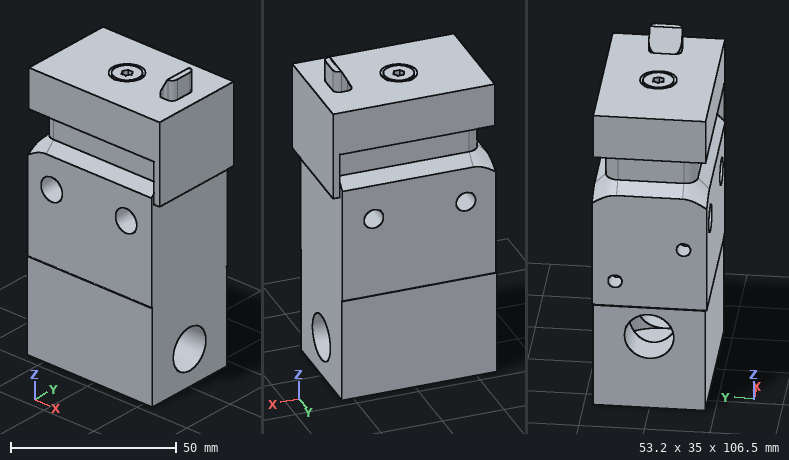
import cadquery as cq
import math

OVERLAP = 1.1

BASE_LENGTH = 50.4
BASE_WIDTH = 34.3
BASE_TOP = 34.4
PORT_DIAMETER = 15.0
INLET_HEIGHT = 24.6
OUTLET_HEIGHT = 13.1
CHAMBER_DIAMETER = 30.0

BODY_LEFT = 0.4
BODY_WIDTH = 35.0
NECK_INSET = 3.5
NECK_CORNER_RADIUS = 3.9
SHOULDER_TOP = 75.9
CORNER_DROP = 8.5

MOUNT_HOLES_X = (10.2, 40.2)
MOUNT_HOLE_HEIGHT = 60.9
MOUNT_HOLE_DIAMETER = 6.3
MOUNT_BORE_DIAMETER = 8.5
MOUNT_BORE_DEPTH = 10.6

PIN_HOLE_DIAMETER = 4.3
PIN_HOLE_DEPTH = 6.4
PIN_HOLE_PLACES = ((-10.4, 54.8), (10.4, 42.8))
DRILL_POINT_ANGLE = 118

LID_LEFT = 0.6
LID_RIGHT = 53.2
LID_BOTTOM = 85.1
LID_TOP = 99.5
LIP_THICKNESS = 2.2
LIP_BOTTOM = 70.3

SCREW_X = 25.2
SCREW_SEAT_DIAMETER = 11.2
SCREW_HEAD_DIAMETER = 9.4
SCREW_SOCKET_CORNERS = 3.6
SCREW_SOCKET_DEPTH = 2.1

LATCH_LEFT = 41.9
LATCH_RIGHT = 47.9
LATCH_RIDGE_X = 45.8
LATCH_WIDTH = 10.0
LATCH_TOP = 106.5
LATCH_CORNER_RADIUS = 2.0


def block(x_min, x_max, width, z_min, z_max):
    """Box centred on Y between the given X and Z limits."""
    box = cq.Workplane("XY").box(x_max - x_min, width, z_max - z_min, centered=(False, True, False))
    return box.translate((x_min, 0, z_min))


def drill_tip_depth(large_diameter, small_diameter=0.0):
    """Length of a drill point cone between two diameters."""
    half_angle = math.radians(DRILL_POINT_ANGLE / 2)
    return (large_diameter - small_diameter) / 2 / math.tan(half_angle)


def make_base():
    base = block(0, BASE_LENGTH, BASE_WIDTH, 0, BASE_TOP)
    port_radius = PORT_DIAMETER / 2
    chamber_floor = OUTLET_HEIGHT - port_radius
    chamber_roof = INLET_HEIGHT + port_radius
    chamber_x = BASE_LENGTH / 2
    chamber = (
        cq.Workplane("XY", origin=(chamber_x, 0, chamber_floor))
        .circle(CHAMBER_DIAMETER / 2)
        .extrude(chamber_roof - chamber_floor)
    )
    inlet = cq.Workplane("YZ").center(0, INLET_HEIGHT).circle(port_radius).extrude(chamber_x)
    outlet = (
        cq.Workplane("YZ", origin=(chamber_x, 0, OUTLET_HEIGHT))
        .circle(port_radius)
        .extrude(chamber_x)
    )
    return base.cut(chamber).cut(inlet).cut(outlet)


def make_body():
    """Body whose shoulder flares at 45 degrees from the rounded neck, also around its corners."""
    neck_left = BODY_LEFT + NECK_INSET
    neck_width = BODY_WIDTH - 2 * NECK_INSET
    form_right = BASE_LENGTH + 2 * CORNER_DROP
    form_length = form_right - neck_left

    def neck_outline(z):
        sketch = (
            cq.Sketch().rect(form_length, neck_width).vertices("<X").fillet(NECK_CORNER_RADIUS)
        )
        return cq.Workplane("XY", origin=(neck_left + form_length / 2, 0, z)).placeSketch(sketch)

    neck = neck_outline(SHOULDER_TOP).extrude(LID_BOTTOM - SHOULDER_TOP)
    shoulder = neck_outline(SHOULDER_TOP).extrude(-CORNER_DROP, taper=-45)
    lower = block(BODY_LEFT, BASE_LENGTH, BODY_WIDTH, BASE_TOP, SHOULDER_TOP - CORNER_DROP)
    envelope = block(BODY_LEFT, BASE_LENGTH, BODY_WIDTH, BASE_TOP, LID_BOTTOM)
    return neck.union(shoulder).intersect(envelope).union(lower)


def mount_hole(x):
    """Through hole along Y, widened from the -Y face with a conical step."""
    front = -BODY_WIDTH / 2
    bore_end = front + MOUNT_BORE_DEPTH
    cone_end = bore_end + drill_tip_depth(MOUNT_BORE_DIAMETER, MOUNT_HOLE_DIAMETER)
    bore_radius = MOUNT_BORE_DIAMETER / 2
    hole_radius = MOUNT_HOLE_DIAMETER / 2
    profile = [
        (0, front),
        (bore_radius, front),
        (bore_radius, bore_end),
        (hole_radius, cone_end),
        (hole_radius, -front),
        (0, -front),
    ]
    hole = cq.Workplane("XY").polyline(profile).close().revolve(360, (0, 0), (0, 1))
    return hole.translate((x, 0, MOUNT_HOLE_HEIGHT))


def pin_hole(y, z):
    """Blind drilled hole along X from the -X face of the body."""
    radius = PIN_HOLE_DIAMETER / 2
    tip = PIN_HOLE_DEPTH + drill_tip_depth(PIN_HOLE_DIAMETER)
    profile = [(0, 0), (0, radius), (PIN_HOLE_DEPTH, radius), (tip, 0)]
    hole = cq.Workplane("XY").polyline(profile).close().revolve(360, (0, 0), (1, 0))
    return hole.translate((BODY_LEFT, y, z))


def make_lid():
    """Lid and lip, with a flush screw head standing in a 45 degree countersink."""
    lid = block(LID_LEFT, LID_RIGHT, BASE_WIDTH, LID_BOTTOM, LID_TOP)
    lip = block(LID_RIGHT - LIP_THICKNESS, LID_RIGHT, BASE_WIDTH, LIP_BOTTOM, LID_TOP)
    seat_depth = (SCREW_SEAT_DIAMETER - SCREW_HEAD_DIAMETER) / 2
    lid_face = cq.Workplane("XY", origin=(SCREW_X, 0, LID_TOP))
    seat = lid_face.circle(SCREW_SEAT_DIAMETER / 2).extrude(-seat_depth, taper=45)
    head = lid_face.circle(SCREW_HEAD_DIAMETER / 2).extrude(-seat_depth - OVERLAP)
    socket = lid_face.polygon(6, SCREW_SOCKET_CORNERS).extrude(-SCREW_SOCKET_DEPTH)
    return lid.union(lip).cut(seat).union(head).cut(socket)


def make_latch():
    """Round-cornered bolt whose -X side slopes up to a ridge."""
    latch = block(LATCH_LEFT, LATCH_RIGHT, LATCH_WIDTH, LID_TOP - OVERLAP, LATCH_TOP)
    latch = latch.edges("|Z").fillet(LATCH_CORNER_RADIUS)
    slope = (
        cq.Workplane("XZ")
        .polyline([(LATCH_LEFT, LID_TOP), (LATCH_LEFT, LATCH_TOP), (LATCH_RIDGE_X, LATCH_TOP)])
        .close()
        .extrude(LATCH_WIDTH / 2, both=True)
    )
    return latch.cut(slope)


body = make_body()
for hole_x in MOUNT_HOLES_X:
    body = body.cut(mount_hole(hole_x))
for hole_y, hole_z in PIN_HOLE_PLACES:
    body = body.cut(pin_hole(hole_y, hole_z))

result = make_base().union(body).union(make_lid()).union(make_latch())